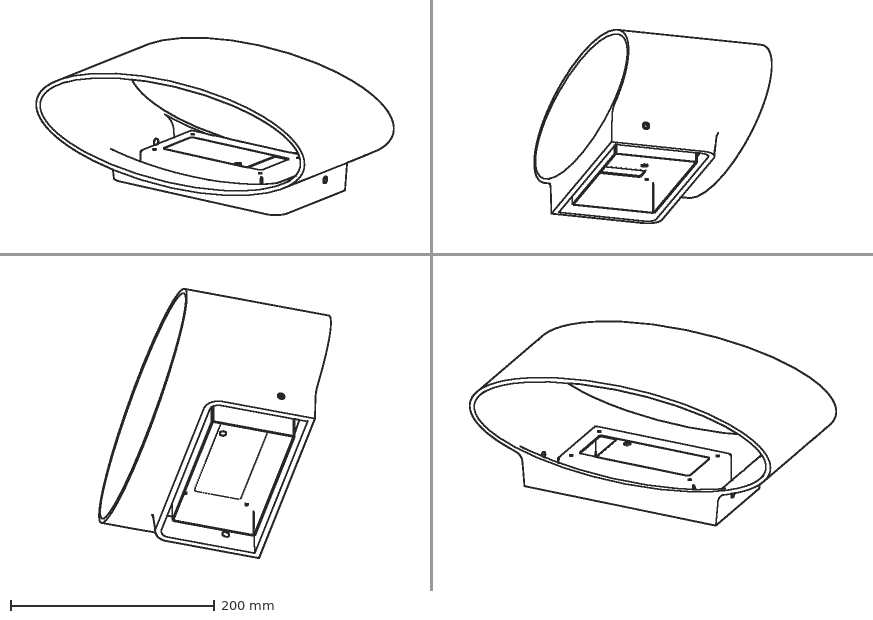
import cadquery as cq
import math

tube_width = 330.0
tube_height = 110.0
tube_length = 147.0
tube_wall = 5.0

foot_drop = 20.0
foot_width = 210.0
foot_front_y = 37.5
foot_wall = 6.0
foot_corner_radius = 15.0
cavity_corner_radius = foot_corner_radius - foot_wall
cavity_overrun = 20.0
draft_angle = 5.0
outer_blend_radius = 10.0
inner_blend_radius = outer_blend_radius + foot_wall

bracket_width = 150.5
bracket_gap = 6.3
bracket_top_z = -42.9
sheet_thickness = 1.5
bend_radius = 2.5
bracket_hole_diameter = 3.0
bracket_hole_x = 65.0
bracket_hole_inset = 11.2
recess_width = 121.0
recess_inset = 18.7
recess_depth = 0.5
recess_corner_radius = 3.0
corner_notch = 1.8
window_width = 18.5
cable_hole_diameter = 6.5
cable_hole_x = 28.0
cable_hole_inset = 24.2

screw_diameter = 7.0
screw_length = 5.0
screw_y = 112.0
screw_height = 20.0
socket_size = 4.5
socket_depth = 2.5

foot_bottom_z = -tube_height / 2 - foot_drop
foot_height = -foot_bottom_z
cavity_width = foot_width - 2 * foot_wall
cavity_front_y = foot_front_y + foot_wall
cavity_rear_y = tube_length - foot_wall
draft_slope = math.tan(math.radians(draft_angle))
screw_z = foot_bottom_z + screw_height
side_at_screw = foot_width / 2 + screw_height * draft_slope


def oval_bar(wall):
    """Full-length elliptical bar, inset from the tube's outside by the given wall."""
    half_width = tube_width / 2 - wall
    half_height = tube_height / 2 - wall
    return (
        cq.Workplane("XZ")
        .moveTo(half_width, 0)
        .ellipseArc(half_width, half_height, 0, 180, startAtCurrent=True)
        .ellipseArc(half_width, half_height, 180, 360, startAtCurrent=True)
        .close()
        .extrude(-tube_length)
    )


def drafted_block(width, front_y, rear_y):
    """Block from the foot bottom up to the tube axis, widening at the front and sides; plain rear."""
    depth = 2 * (rear_y - front_y)
    growth = 2 * foot_height * draft_slope
    full_block = (
        cq.Workplane("XY")
        .workplane(offset=foot_bottom_z)
        .center(0, rear_y)
        .rect(width, depth)
        .workplane(offset=foot_height)
        .rect(width + growth, depth + growth)
        .loft(ruled=True)
    )
    rear_half = (
        cq.Workplane("XY")
        .box(2 * width, 2 * depth, 4 * foot_height)
        .translate((0, rear_y + depth, 0))
    )
    return full_block.cut(rear_half)


def edges_between(shape, low_corner, high_corner):
    """Edges whose centres lie in the box between two opposite corners."""
    return shape.edges(cq.selectors.BoxSelector(low_corner, high_corner))


def blend_sides(shape, radius):
    """Fillet the lines where the foot or cavity sides, and what runs smoothly on, meet the oval."""
    side_lines = edges_between(
        shape,
        (-foot_width, foot_front_y, -tube_height / 2 + foot_wall),
        (foot_width, cavity_rear_y - foot_wall, -tube_height / 4),
    )
    return side_lines.fillet(radius)


def blend_front(shape, radius):
    """Fillet the line where the cavity front meets the oval bore."""
    front_line = edges_between(
        shape,
        (-foot_wall, foot_front_y, -tube_height / 2),
        (foot_wall, foot_front_y + foot_wall, -tube_height / 4),
    )
    return front_line.fillet(radius)


def make_outside():
    """Solid tube with the foot blended into it."""
    foot = drafted_block(foot_width, foot_front_y, tube_length)
    front_corners = foot.edges("not(#Z or |X or |Y)").edges("<Y")
    rounded_foot = front_corners.fillet(foot_corner_radius)
    return blend_sides(oval_bar(0).union(rounded_foot), outer_blend_radius)


def make_inside():
    """Tube bore and foot cavity in one; the side and front blends meet in a mitre at the corners."""
    bore = oval_bar(tube_wall)
    long_block = drafted_block(cavity_width, -cavity_overrun, cavity_rear_y)
    wide_block = drafted_block(cavity_width + 2 * cavity_overrun, cavity_front_y, cavity_rear_y)
    side_blended = blend_sides(bore.union(long_block), inner_blend_radius)
    front_blended = blend_front(bore.union(wide_block), inner_blend_radius)
    mitred = side_blended.intersect(front_blended)
    corner_lines = edges_between(
        mitred,
        (-foot_width, cavity_front_y - inner_blend_radius, -tube_height / 2),
        (foot_width, cavity_front_y - foot_wall, -tube_height / 4),
    )
    return corner_lines.fillet(cavity_corner_radius)


def screw_blank(side, start_x, length):
    """Cylinder running inwards along X from the given distance on one side of the foot."""
    return (
        cq.Workplane("YZ", origin=(side * start_x, screw_y, screw_z))
        .circle(screw_diameter / 2)
        .extrude(-side * length)
    )


def make_housing():
    """Hollow tube and foot, with a screw hole through each side of the foot."""
    housing = make_outside().cut(make_inside())
    for side in (-1, 1):
        screw_hole = screw_blank(side, side_at_screw + foot_wall, 3 * foot_wall)
        housing = housing.cut(screw_hole)
    return housing


def make_bracket():
    """Sheet box open at the bottom, with a recessed top that holds a window and a cable hole."""
    height = bracket_top_z - foot_bottom_z
    front_y = cavity_front_y + bracket_gap
    rear_y = cavity_rear_y - bracket_gap
    depth = rear_y - front_y
    middle_y = (front_y + rear_y) / 2
    top = cq.Workplane("XY").workplane(offset=bracket_top_z).center(0, middle_y)

    bracket = (
        top.rect(bracket_width, depth)
        .extrude(-height)
        .faces(">Z")
        .edges()
        .fillet(bend_radius)
        .faces("<Z")
        .shell(-sheet_thickness)
    )
    corner_notches = (
        top.rect(bracket_width, depth, forConstruction=True)
        .vertices()
        .rect(2 * corner_notch, 2 * corner_notch)
        .extrude(-height)
    )
    recess = (
        top.rect(recess_width, depth - 2 * recess_inset)
        .extrude(-recess_depth)
        .edges("|Z")
        .fillet(recess_corner_radius)
    )
    window = (
        top.center(recess_width / 2 - window_width / 2, 0)
        .rect(window_width, depth - 2 * recess_inset)
        .extrude(-2 * sheet_thickness)
        .edges("|Z and >X")
        .fillet(recess_corner_radius)
    )
    screw_holes = (
        top.rect(2 * bracket_hole_x, depth - 2 * bracket_hole_inset, forConstruction=True)
        .vertices()
        .circle(bracket_hole_diameter / 2)
        .extrude(-2 * sheet_thickness)
    )
    cable_hole = (
        top.center(cable_hole_x, cable_hole_inset - depth / 2)
        .circle(cable_hole_diameter / 2)
        .extrude(-2 * sheet_thickness)
    )
    return bracket.cut(corner_notches).cut(recess).cut(window).cut(screw_holes).cut(cable_hole)


def make_screw(side):
    """Headless screw with a hexagon socket, its end level with the foot side."""
    screw = screw_blank(side, side_at_screw, screw_length)
    socket = (
        cq.Workplane("YZ", origin=(side * side_at_screw, screw_y, screw_z))
        .polygon(6, socket_size)
        .extrude(-side * socket_depth)
    )
    return screw.cut(socket)


housing = make_housing()
bracket = make_bracket()
screws = [make_screw(side) for side in (-1, 1)]
result = cq.Compound.makeCompound(
    [
        housing.solids().val(),
        bracket.solids().val(),
        *[screw.solids().val() for screw in screws],
    ]
)